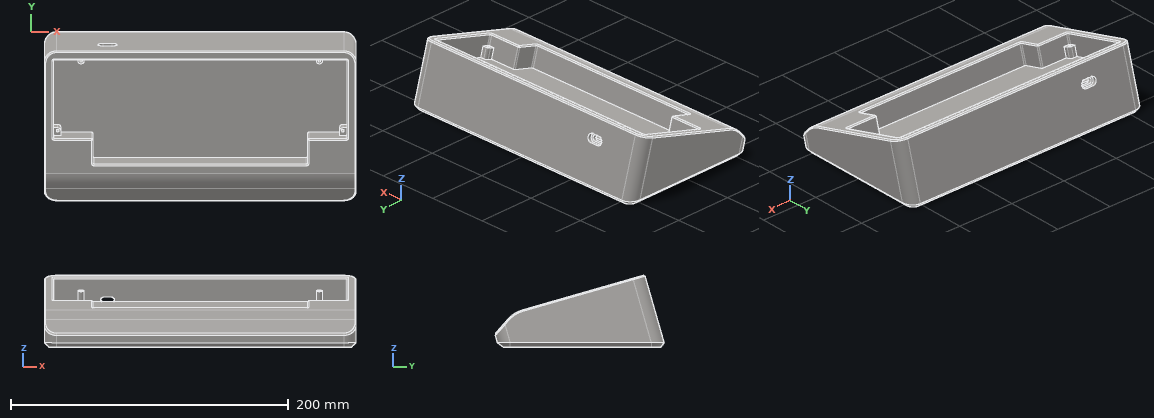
import cadquery as cq
import math

width = 224.5
depth = 121.7
height = 51.9
tilt = 16.0
corner_radius = 9.0
rim_chamfer = 1.0
base_chamfer = 3.4

nose_angle = 49.0
nose_edge_height = 9.5
nose_blend_radius = 22.5

back_wall = 6.7
side_wall = 6.5
pocket_depth = 18.0
pocket_length = 59.0
notch_length = 19.0
notch_width = 154.5
pocket_edge_radius = 1.0

post_radius = 2.2
post_top_depth = 9.2
screw_hole_diameter = 1.8
screw_hole_depth = 6.7
post_overlap = 2.2
back_post_x = 85.8
back_post_drop = 9.9
front_post_x = 102.6
front_post_drop = 62.2

port_x = -66.7
port_depth = 17.0
port_width = 9.9
port_height = 4.5
recess_width = 13.5
recess_height = 7.0
recess_depth = 3.4

sin_tilt = math.sin(math.radians(tilt))
cos_tilt = math.cos(math.radians(tilt))
tan_tilt = math.tan(math.radians(tilt))
tan_nose = math.tan(math.radians(nose_angle))
back_edge_z = height + rim_chamfer * sin_tilt
widest_back_z = base_chamfer * cos_tilt
widest_front_z = nose_edge_height - rim_chamfer * cos_tilt
back_edge_y = depth / 2 - (back_edge_z - widest_back_z) * tan_tilt
nose_y = -depth / 2 - rim_chamfer * sin_tilt
slope_length = (depth - (widest_front_z - widest_back_z) * tan_tilt) * cos_tilt

top_plane = cq.Plane(
    origin=(0, back_edge_y, back_edge_z),
    xDir=(1, 0, 0),
    normal=(0, -sin_tilt, cos_tilt),
)
pocket_back = -back_wall
pocket_front = pocket_back - pocket_length
notch_front = pocket_front - notch_length
pocket_half_width = width / 2 - side_wall
notch_half_width = notch_width / 2


def at_depth(distance):
    """Workplane parallel to the top face, the given distance below it."""
    return cq.Workplane(top_plane).workplane(offset=-distance)


def make_case():
    """Tilted rounded block, trimmed to a flat base and a sloping nose."""
    block = (
        cq.Workplane(top_plane)
        .center(0, -slope_length / 2)
        .rect(width, slope_length)
        .extrude(-2 * height)
        .edges(cq.selectors.ParallelDirSelector(top_plane.zDir))
        .fillet(corner_radius)
    )
    top_face_z_at_nose = back_edge_z - (back_edge_y - nose_y) * tan_tilt
    bend_run = (top_face_z_at_nose - nose_edge_height) / (tan_nose - tan_tilt)
    bend_y = nose_y + bend_run
    bend_z = nose_edge_height + bend_run * tan_nose
    toe_y = nose_y - nose_edge_height / tan_nose
    trim = (
        cq.Workplane("YZ")
        .polyline([
            (depth, 0),
            (toe_y, 0),
            (bend_y, bend_z),
            (back_edge_y, back_edge_z),
            (depth, back_edge_z),
        ])
        .close()
        .extrude(width / 2, both=True)
        .edges(cq.selectors.NearestToPointSelector((0, bend_y, bend_z)))
        .fillet(nose_blend_radius)
    )
    case = block.intersect(trim).faces("<Z").chamfer(base_chamfer)
    back_edge = cq.selectors.NearestToPointSelector(top_plane.origin.toTuple())
    return case.edges(back_edge).chamfer(rim_chamfer)


def make_pocket():
    """T-shaped pocket, parallel to the top face, with a chamfered mouth."""
    outline = [
        (-pocket_half_width, pocket_back),
        (pocket_half_width, pocket_back),
        (pocket_half_width, pocket_front),
        (notch_half_width, pocket_front),
        (notch_half_width, notch_front),
        (-notch_half_width, notch_front),
        (-notch_half_width, pocket_front),
        (-pocket_half_width, pocket_front),
    ]
    cavity = (
        at_depth(0)
        .polyline(outline)
        .close()
        .extrude(-pocket_depth)
        .edges(cq.selectors.ParallelDirSelector(top_plane.zDir))
        .fillet(pocket_edge_radius)
    )
    mouth_face = cavity.faces(cq.selectors.DirectionMinMaxSelector(top_plane.zDir, True))
    mouth_outline = mouth_face.wires().val().offset2D(rim_chamfer)[0]
    mouth = cq.Workplane(top_plane).add(mouth_outline).toPending().extrude(-rim_chamfer, taper=45)
    return cavity.union(mouth)


def make_posts():
    """Two round posts by the back wall and two filling the front pocket corners."""
    post_height = pocket_depth - post_top_depth
    posts = (
        at_depth(pocket_depth)
        .pushPoints([(-back_post_x, -back_post_drop), (back_post_x, -back_post_drop)])
        .circle(post_radius)
        .extrude(post_height)
    )
    inner_x = front_post_x - post_radius
    block_width = pocket_half_width + post_overlap - inner_x
    block_back = post_radius - front_post_drop
    block_length = block_back - pocket_front + post_overlap
    block_x = inner_x + block_width / 2
    block_middle = block_back - block_length / 2
    middle_depth = (pocket_depth + post_top_depth) / 2
    for side in (-1, 1):
        inner_edge = cq.selectors.NearestToPointSelector(
            top_plane.toWorldCoords((side * inner_x, block_back, -middle_depth)).toTuple()
        )
        corner_post = (
            at_depth(pocket_depth)
            .center(side * block_x, block_middle)
            .rect(block_width, block_length)
            .extrude(post_height)
            .edges(inner_edge)
            .fillet(post_radius)
        )
        posts = posts.union(corner_post)
    return posts


def make_screw_holes():
    """Blind screw holes down the four posts."""
    centers = []
    for side in (-1, 1):
        centers.append((side * back_post_x, -back_post_drop))
        centers.append((side * front_post_x, -front_post_drop))
    return (
        at_depth(post_top_depth)
        .pushPoints(centers)
        .circle(screw_hole_diameter / 2)
        .extrude(-screw_hole_depth)
    )


def make_port():
    """Connector slot through the back wall with a wider recess on the outside."""
    back_plane = cq.Plane(
        origin=top_plane.toWorldCoords((port_x, 0, -port_depth)).toTuple(),
        xDir=(1, 0, 0),
        normal=(-top_plane.yDir).toTuple(),
    )
    slot = cq.Workplane(back_plane).slot2D(port_width, port_height).extrude(back_wall)
    recess = cq.Workplane(back_plane).slot2D(recess_width, recess_height).extrude(recess_depth)
    return slot.union(recess)


case = make_case().cut(make_pocket())
result = case.union(make_posts()).cut(make_screw_holes()).cut(make_port())